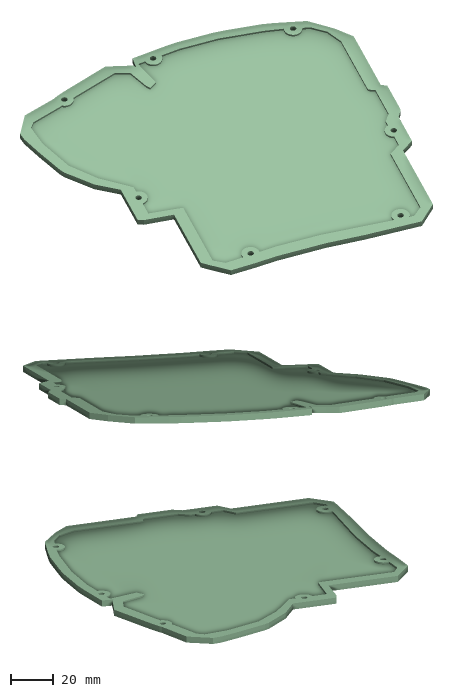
import cadquery as cq

plate_thickness = 3.0
pocket_depth = 1.0
screw_hole_diameter = 3.0
boss_radius = 4.3

half_width = 154.13 / 2
half_length = 171.55 / 2
back_edge_y = 83.1
right_back_edge_y = 76.9
right_front_edge_y = -38.4
front_ledge_y = -55.5

pocket_back_y = 76.4
pocket_back_tab_y = 79.5
pocket_right_back_y = 70.7
pocket_right_front_y = -32.7
pocket_ledge_y = -49.3

left_side = [
    (-51.3, back_edge_y),
    (-59.4, 76.7),
    (-68.8, 66.5),
    (-73.2, 51.0),
    (-74.4, 45.6),
    (-76.6, 28.3),
    (-half_width, 22.6),
    (-half_width, 4.6),
    (-76.6, -0.8),
    (-74.3, -18.5),
]
thumb_side = [
    (-67.8, -19.2),
    (-69.6, -19.7),
    (-71.7, -26.4),
    (-73.7, -32.3),
    (-65.0, -55.8),
    (-63.8, -58.7),
    (-62.6, -61.4),
    (-61.9, -62.5),
    (-56.2, -79.3),
    (-46.6, -85.0),
    (-45.4, -half_length),
    (-41.0, -85.3),
    (-30.7, -82.2),
    (-16.0, -77.2),
    (-13.4, -75.9),
    (-1.0, -65.9),
    (6.9, front_ledge_y),
    (28.7, front_ledge_y),
    (29.9, -52.8),
    (31.5, right_front_edge_y),
]
right_side = [
    (66.4, right_front_edge_y),
    (69.0, -35.5),
    (76.2, -27.1),
    (75.7, -15.1),
    (74.9, -3.6),
    (74.9, 20.6),
    (76.2, 40.2),
    (half_width, 67.9),
    (68.0, right_back_edge_y),
]
back_side = [
    (29.0, right_back_edge_y),
    (24.5, back_edge_y),
    (7.2, back_edge_y),
    (2.9, half_length),
    (-14.5, half_length),
    (-16.1, back_edge_y),
]

pocket_left_side = [
    (-50.3, pocket_back_y),
    (-58.7, 72.7),
    (-64.1, 66.5),
    (-67.8, 54.5),
    (-69.8, 45.1),
    (-72.5, 23.6),
    (-72.5, 4.3),
    (-69.8, -17.5),
]
pocket_finger = [
    (-55.2, -14.2),
    (-52.6, -18.0),
    (-54.6, -19.3),
    (-65.6, -23.1),
]
pocket_thumb_side = [
    (-68.0, -29.9),
    (-59.7, -52.7),
    (-55.6, -62.3),
    (-50.4, -77.2),
    (-47.2, -79.6),
    (-35.2, -78.3),
    (-17.2, -72.4),
    (-4.2, -62.6),
    (7.4, pocket_ledge_y),
    (26.4, pocket_ledge_y),
    (28.6, pocket_right_front_y),
]
pocket_right_side = [
    (66.9, pocket_right_front_y),
    (70.6, -27.5),
    (69.3, -9.7),
    (68.6, -2.0),
    (68.7, 20.4),
    (72.2, 63.7),
    (72.2, 66.0),
    (67.9, pocket_right_back_y),
]
pocket_back_side = [
    (29.1, pocket_right_back_y),
    (24.9, pocket_back_y),
    (7.8, pocket_back_y),
    (3.4, pocket_back_tab_y),
    (-13.8, pocket_back_tab_y),
    (-15.2, pocket_back_y),
]

screw_positions = [
    (-66.4, 58.6),
    (14.8, 77.8),
    (69.7, 60.1),
    (-70.9, -9.6),
    (68.7, -14.4),
    (-59.7, -58.2),
    (14.8, -49.7),
]


def make_plate():
    outline = left_side + thumb_side + right_side + back_side
    return cq.Workplane("XY").polyline(outline).close().extrude(plate_thickness)


def make_pocket():
    """Shallow recess in the top face, with a round boss left standing at each screw."""
    outline = (
        pocket_left_side + pocket_finger + pocket_thumb_side + pocket_right_side + pocket_back_side
    )
    floor = cq.Workplane("XY").workplane(offset=plate_thickness - pocket_depth)
    recess = floor.polyline(outline).close().extrude(pocket_depth)
    bosses = floor.pushPoints(screw_positions).circle(boss_radius).extrude(pocket_depth)
    return recess.cut(bosses)


def make_screw_holes():
    """Through holes, one in the middle of each boss."""
    return (
        cq.Workplane("XY")
        .pushPoints(screw_positions)
        .circle(screw_hole_diameter / 2)
        .extrude(plate_thickness)
    )


result = make_plate().cut(make_pocket()).cut(make_screw_holes())